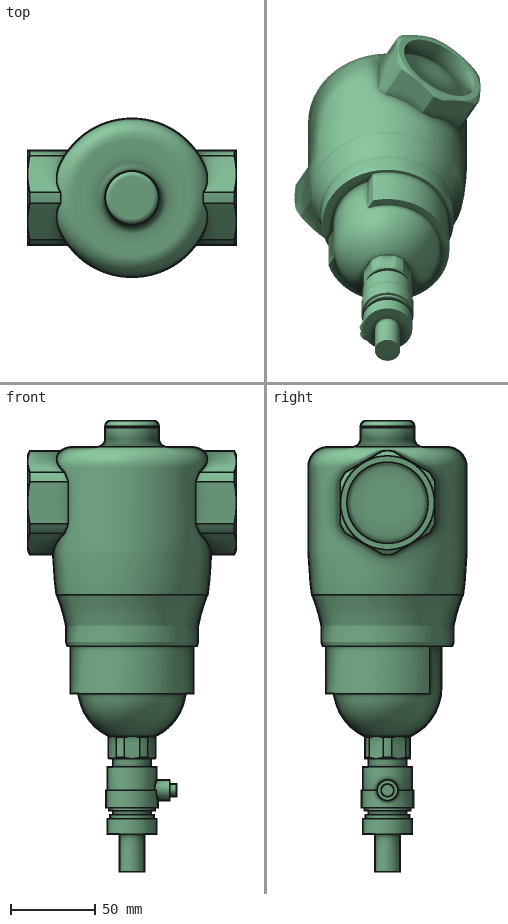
import cadquery as cq
import math


HEX_HALF_ANGLE = math.radians(30)

TOTAL_HEIGHT = 268.0
PORT_SPAN = 124.0
BODY_DIAMETER = 94.3

BODY_RADIUS = BODY_DIAMETER / 2
CAP_RADIUS = 16.0
CAP_EDGE_FILLET = 3.5
CAP_GROOVE_TOP = 264.5
CAP_GROOVE_HEIGHT = 0.8
CAP_GROOVE_DEPTH = 0.3
CAP_FLARE_RADIUS = 4.8
SHOULDER_Z = 252.5
SHOULDER_FILLET = 12.0
TAPER_TOP_Z = 196.0
TAPER_BOTTOM_RADIUS = 45.0
TAPER_BOTTOM_Z = 164.5
TAPER_EDGE_WIDTH = 0.5
TAPER_EDGE_HEIGHT = 0.8
WAIST_RADIUS = 41.5
WAIST_Z = 155.2
COLLAR_RADIUS = 39.5
COLLAR_TOP_Z = 146.3
HEAD_BOTTOM_Z = 134.0
COLLAR_CHAMFER_WIDTH = 0.8
COLLAR_CHAMFER_HEIGHT = 2.7

PORT_Z = 219.2
PORT_FLATS = 56.3
PORT_CORNER_RADIUS = 30.8
PORT_FACE_RADIUS = 28.0
PORT_CHAMFER_LENGTH = 1.3
PORT_BORE_RADIUS = 24.0
PORT_BORE_DEPTH = 12.0

BOWL_RADIUS = 32.2
BOWL_SPHERE_Z = 109.5
BOWL_BOTTOM_Z = 80.7
GUARD_RADIUS = 36.7
GUARD_BOTTOM_Z = 105.9
GUARD_CUT_Y = 25.2

NUT_FLATS = 26.8
NUT_CORNER_RADIUS = 14.2
NUT_BOTTOM_Z = 67.3
NUT_CHAMFER = 0.8
NECK_RADIUS = 11.5
UPPER_BARREL_RADIUS = 14.7
UPPER_BARREL_TOP_Z = 62.5
LOWER_BARREL_RADIUS = 15.5
LOWER_BARREL_TOP_Z = 48.5
BARREL_LIP_RADIUS = 14.0
BARREL_LIP_TOP_Z = 38.0
VALVE_GROOVE_TOP_Z = 36.5
COUPLING_STEP_RADIUS = 13.0
COUPLING_STEP_TOP_Z = 34.0
COUPLING_RADIUS = UPPER_BARREL_RADIUS
COUPLING_TOP_Z = 31.5
TAIL_RADIUS = 7.5
TAIL_TOP_Z = 22.5
SPINDLE_BOSS_RADIUS = 6.2
SPINDLE_BOSS_END_X = 22.5
SPINDLE_RADIUS = 3.8
SPINDLE_END_X = 26.5


def cylinder(radius, bottom, top):
    """Cylinder about Z between two levels."""
    return cq.Workplane("XY", origin=(0, 0, bottom)).circle(radius).extrude(top - bottom)


def cylinder_x(radius, start_x, end_x, z):
    """Cylinder along X at height z."""
    return cq.Workplane("YZ", origin=(start_x, 0, z)).circle(radius).extrude(end_x - start_x)


def turned_hexagon(plane, length, flats, corner_radius, end_radius, chamfer_length):
    """Hexagonal bar with a corner toward the plane's x direction, corners and ends turned down."""
    hexagon = cq.Workplane(plane).polygon(6, flats / math.cos(HEX_HALF_ANGLE)).extrude(length)
    turned = cq.Workplane(plane).circle(corner_radius).extrude(length)
    turned = turned.faces("%Plane").edges().chamfer(chamfer_length, corner_radius - end_radius)
    return hexagon.intersect(turned)


def head_shell():
    """Turned head, from the cap down to the collar."""
    flat_radius = BODY_RADIUS - SHOULDER_FILLET
    mid_arc = math.sqrt(0.5)
    groove_bottom = CAP_GROOVE_TOP - CAP_GROOVE_HEIGHT
    groove_radius = CAP_RADIUS - CAP_GROOVE_DEPTH
    flare_outer = CAP_RADIUS + CAP_FLARE_RADIUS
    flare_top = SHOULDER_Z + CAP_FLARE_RADIUS
    shoulder_bottom = SHOULDER_Z - SHOULDER_FILLET
    cap_arc_z = TOTAL_HEIGHT - CAP_EDGE_FILLET
    taper_end_radius = TAPER_BOTTOM_RADIUS - TAPER_EDGE_WIDTH
    profile = (
        cq.Workplane("XZ")
        .moveTo(0, TOTAL_HEIGHT)
        .lineTo(CAP_RADIUS - CAP_EDGE_FILLET, TOTAL_HEIGHT)
        .tangentArcPoint((CAP_RADIUS, cap_arc_z), relative=False)
        .lineTo(groove_radius, CAP_GROOVE_TOP)
        .lineTo(groove_radius, groove_bottom)
        .lineTo(CAP_RADIUS, groove_bottom)
        .lineTo(CAP_RADIUS, flare_top)
        .threePointArc(
            (flare_outer - CAP_FLARE_RADIUS * mid_arc, flare_top - CAP_FLARE_RADIUS * mid_arc),
            (flare_outer, SHOULDER_Z),
        )
        .lineTo(flat_radius, SHOULDER_Z)
        .threePointArc(
            (flat_radius + SHOULDER_FILLET * mid_arc, shoulder_bottom + SHOULDER_FILLET * mid_arc),
            (BODY_RADIUS, shoulder_bottom),
        )
        .lineTo(BODY_RADIUS, TAPER_TOP_Z)
        .tangentArcPoint((TAPER_BOTTOM_RADIUS, TAPER_BOTTOM_Z), relative=False)
        .lineTo(taper_end_radius, TAPER_BOTTOM_Z - TAPER_EDGE_HEIGHT)
        .threePointArc((WAIST_RADIUS, WAIST_Z), (COLLAR_RADIUS, COLLAR_TOP_Z))
        .lineTo(COLLAR_RADIUS, HEAD_BOTTOM_Z + COLLAR_CHAMFER_HEIGHT)
        .lineTo(COLLAR_RADIUS - COLLAR_CHAMFER_WIDTH, HEAD_BOTTOM_Z)
        .lineTo(0, HEAD_BOTTOM_Z)
        .close()
    )
    return profile.revolve(360, (0, 0, 0), (0, 1, 0))


def port_bar():
    """Hexagonal bar along X through the head, with a corner on top."""
    plane = cq.Plane(origin=(-PORT_SPAN / 2, 0, PORT_Z), xDir=(0, 0, 1), normal=(1, 0, 0))
    return turned_hexagon(
        plane, PORT_SPAN, PORT_FLATS, PORT_CORNER_RADIUS, PORT_FACE_RADIUS, PORT_CHAMFER_LENGTH
    )


def make_head():
    """Head with its ports and a blind bore in each port."""
    head = head_shell().union(port_bar())
    for side in (-1, 1):
        face_x = side * PORT_SPAN / 2
        floor_x = face_x - side * PORT_BORE_DEPTH
        head = head.cut(cylinder_x(PORT_BORE_RADIUS, face_x, floor_x, PORT_Z))
    return head


def make_bowl():
    """Round-bottomed bowl with a flat seat for the drain valve."""
    dome = cq.Workplane("XY", origin=(0, 0, BOWL_SPHERE_Z)).sphere(BOWL_RADIUS)
    dome = dome.intersect(cylinder(BOWL_RADIUS, BOWL_BOTTOM_Z, BOWL_SPHERE_Z))
    return cylinder(BOWL_RADIUS, BOWL_SPHERE_Z, HEAD_BOTTOM_Z).union(dome)


def make_guard():
    """Sleeve around the bowl, cut open along the +Y side."""
    sleeve = cylinder(GUARD_RADIUS, GUARD_BOTTOM_Z, HEAD_BOTTOM_Z)
    bore = cylinder(BOWL_RADIUS, GUARD_BOTTOM_Z, HEAD_BOTTOM_Z)
    height = HEAD_BOTTOM_Z - GUARD_BOTTOM_Z
    opening = cq.Workplane("XY").box(
        2 * GUARD_RADIUS, GUARD_RADIUS, height, centered=(True, False, False)
    )
    opening = opening.translate((0, GUARD_CUT_Y, GUARD_BOTTOM_Z))
    return sleeve.cut(bore).cut(opening)


def valve_nut():
    """Hexagonal nut with flats facing -Y and +Y and turned corners."""
    plane = cq.Plane(origin=(0, 0, NUT_BOTTOM_Z), xDir=(1, 0, 0), normal=(0, 0, 1))
    height = BOWL_BOTTOM_Z - NUT_BOTTOM_Z
    end_radius = NUT_CORNER_RADIUS - NUT_CHAMFER
    return turned_hexagon(plane, height, NUT_FLATS, NUT_CORNER_RADIUS, end_radius, NUT_CHAMFER)


def make_drain_valve():
    """Drain valve: nut, stepped barrel, coupling, hose tail and side spindle."""
    steps = [
        (NECK_RADIUS, NUT_BOTTOM_Z),
        (UPPER_BARREL_RADIUS, UPPER_BARREL_TOP_Z),
        (LOWER_BARREL_RADIUS, LOWER_BARREL_TOP_Z),
        (BARREL_LIP_RADIUS, BARREL_LIP_TOP_Z),
        (NECK_RADIUS, VALVE_GROOVE_TOP_Z),
        (COUPLING_STEP_RADIUS, COUPLING_STEP_TOP_Z),
        (COUPLING_RADIUS, COUPLING_TOP_Z),
        (TAIL_RADIUS, TAIL_TOP_Z),
    ]
    bottoms = [top for _, top in steps[1:]] + [0]
    valve = valve_nut()
    for (radius, top), bottom in zip(steps, bottoms):
        valve = valve.union(cylinder(radius, bottom, top))
    valve = valve.union(cylinder_x(SPINDLE_BOSS_RADIUS, 0, SPINDLE_BOSS_END_X, LOWER_BARREL_TOP_Z))
    return valve.union(cylinder_x(SPINDLE_RADIUS, 0, SPINDLE_END_X, LOWER_BARREL_TOP_Z))


head = make_head()
bowl = make_bowl()
guard = make_guard()
drain_valve = make_drain_valve()

result = cq.Compound.makeCompound(
    [body.solids().val() for body in (head, bowl, guard, drain_valve)]
)